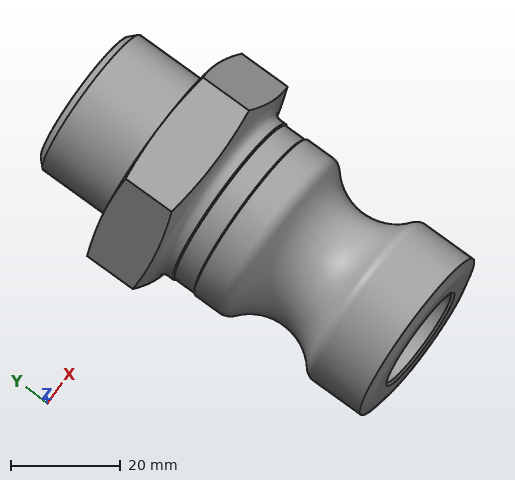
import cadquery as cq
import math

TOTAL_LENGTH = 76.0
BODY_DIAMETER = 35.0
BORE_DIAMETER = 20.0
BORE_CHAMFER = 0.45

FACE_DIAMETER = 29.0
FACE_BEVEL_LENGTH = 0.75

WAIST_Y = 22.05
WAIST_DIAMETER = 25.1
WAIST_ARC_RADIUS = 11.0
FRONT_SHOULDER_RADIUS = 2.5
REAR_SHOULDER_RADIUS = 3.0

BAND_DIAMETER = 34.5
BAND_START = 38.3
BAND_END = 43.25

HEX_ACROSS_FLATS = 41.0
HEX_FLAT_START = 46.8
HEX_END = 59.0
HEX_END_FACE_DIAMETER = 40.7
HEX_CHAMFER_ANGLE = 15.0
NECK_FILLET_RADIUS = 2.0
TURNING_MARGIN = 0.75

SPIGOT_DIAMETER = 30.3
SPIGOT_CHAMFER = 1.45

body_radius = BODY_DIAMETER / 2
band_radius = BAND_DIAMETER / 2
band_depth = body_radius - band_radius
waist_radius = WAIST_DIAMETER / 2
spigot_radius = SPIGOT_DIAMETER / 2
hex_inner_radius = HEX_ACROSS_FLATS / 2
hex_corner_diameter = HEX_ACROSS_FLATS / math.cos(math.pi / 6)
blank_radius = hex_corner_diameter / 2 + TURNING_MARGIN
chamfer_angle = math.radians(HEX_CHAMFER_ANGLE)


def arc_point(center, radius, angle):
    """Point on a circle in the (radius, Y) half plane."""
    return (center[0] + radius * math.cos(angle), center[1] + radius * math.sin(angle))


def shoulder(radius, side):
    """Start, middle and end of a shoulder arc, from the body cylinder to the waist arc.

    The arc touches both of them. side is -1 for the front shoulder, +1 for the rear one.
    """
    center_radius = body_radius - radius
    radial_gap = waist_radius + WAIST_ARC_RADIUS - center_radius
    tangent_angle = math.acos(radial_gap / (WAIST_ARC_RADIUS + radius))
    center = (center_radius, WAIST_Y + side * radial_gap * math.tan(tangent_angle))
    turn = -side * tangent_angle
    return [arc_point(center, radius, angle) for angle in (0, turn / 2, turn)]


def neck_fillet():
    """Start, middle and end of the arc that touches the body and the hexagon's front cone."""
    turn = math.pi / 2 - chamfer_angle
    end_radius = body_radius + NECK_FILLET_RADIUS * (1 - math.cos(turn))
    end_y = cone_y(end_radius)
    center = (body_radius + NECK_FILLET_RADIUS, end_y - NECK_FILLET_RADIUS * math.sin(turn))
    return [arc_point(center, NECK_FILLET_RADIUS, math.pi - angle) for angle in (0, turn / 2, turn)]


def cone_y(radius):
    """Y of the hexagon's front cone at a given radius."""
    return HEX_FLAT_START + (radius - hex_inner_radius) * math.tan(chamfer_angle)


def make_turned_blank():
    """Solid of revolution with the whole outer profile; the hexagon is still a round flange."""
    front_start, front_middle, front_end = shoulder(FRONT_SHOULDER_RADIUS, -1)
    rear_start, rear_middle, rear_end = shoulder(REAR_SHOULDER_RADIUS, 1)
    neck_start, neck_middle, neck_end = neck_fillet()
    hex_face_radius = HEX_END_FACE_DIAMETER / 2
    rear_cone_length = (blank_radius - hex_face_radius) * math.tan(chamfer_angle)

    return (
        cq.Workplane("XY")
        .moveTo(0, 0)
        .lineTo(FACE_DIAMETER / 2, 0)
        .lineTo(body_radius, FACE_BEVEL_LENGTH)
        .lineTo(*front_start)
        .threePointArc(front_middle, front_end)
        .threePointArc((waist_radius, WAIST_Y), rear_end)
        .threePointArc(rear_middle, rear_start)
        .lineTo(body_radius, BAND_START)
        .lineTo(band_radius, BAND_START + band_depth)
        .lineTo(band_radius, BAND_END - band_depth)
        .lineTo(body_radius, BAND_END)
        .lineTo(*neck_start)
        .threePointArc(neck_middle, neck_end)
        .lineTo(blank_radius, cone_y(blank_radius))
        .lineTo(blank_radius, HEX_END - rear_cone_length)
        .lineTo(hex_face_radius, HEX_END)
        .lineTo(spigot_radius, HEX_END)
        .lineTo(spigot_radius, TOTAL_LENGTH - SPIGOT_CHAMFER)
        .lineTo(spigot_radius - SPIGOT_CHAMFER, TOTAL_LENGTH)
        .lineTo(0, TOTAL_LENGTH)
        .close()
        .revolve(360, (0, 0), (0, 1))
    )


def make_hexagonal_bar():
    """Full-length hexagonal bar; only the flange is wide enough to be cut by its flats."""
    return cq.Workplane("XZ").polygon(6, hex_corner_diameter).extrude(-TOTAL_LENGTH)


def make_bore():
    """Through bore, chamfered at the front mouth."""
    bore_radius = BORE_DIAMETER / 2
    return (
        cq.Workplane("XY")
        .moveTo(0, 0)
        .lineTo(bore_radius + BORE_CHAMFER, 0)
        .lineTo(bore_radius, BORE_CHAMFER)
        .lineTo(bore_radius, TOTAL_LENGTH)
        .lineTo(0, TOTAL_LENGTH)
        .close()
        .revolve(360, (0, 0), (0, 1))
    )


result = make_turned_blank().intersect(make_hexagonal_bar()).cut(make_bore())